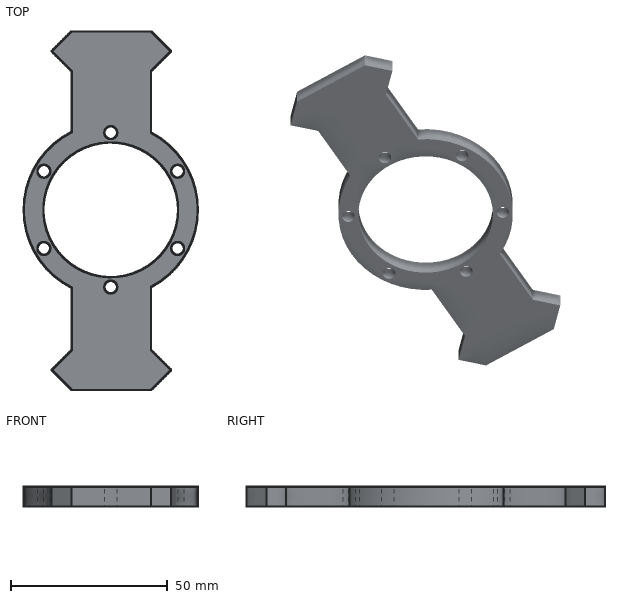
import cadquery as cq
import math

thickness = 6.35
overall_length = 114.3
bore_diameter = 42.85
rim_width = 6.35
arm_width = 25.4
tip_point = 6.35
bolt_hole_diameter = 4.0
bolt_count = 6
arm_offset_x = 0.2
arm_offset_y = -0.25
first_bolt_angle = 90.0

ring_diameter = bore_diameter + 2 * rim_width
bolt_circle_radius = (bore_diameter + rim_width) / 2
arm_half_width = arm_width / 2
half_length = overall_length / 2


def make_ring():
    """Solid disc that becomes the ring once the bore is cut."""
    return cq.Workplane("XY").circle(ring_diameter / 2).extrude(thickness)


def make_arm(direction):
    """Arm along Y (direction +1 or -1) with a pointed tip on both sides."""
    end = direction * half_length
    point = direction * (half_length - tip_point)
    neck = direction * (half_length - 2 * tip_point)
    tip_half_width = arm_half_width + tip_point
    right_side = [
        (arm_half_width, 0),
        (arm_half_width, neck),
        (tip_half_width, point),
        (arm_half_width, end),
    ]
    left_side = [(-x, y) for x, y in reversed(right_side)]
    return cq.Workplane("XY").polyline(right_side + left_side).close().extrude(thickness)


def make_arms():
    """Both arms, shifted together relative to the ring axis."""
    arms = make_arm(1).union(make_arm(-1))
    return arms.translate((arm_offset_x, arm_offset_y, 0))


def make_bore():
    """Central through bore."""
    return cq.Workplane("XY").circle(bore_diameter / 2).extrude(thickness)


def make_bolt_holes():
    """Evenly spaced through holes on the middle of the rim."""
    centres = []
    for index in range(bolt_count):
        angle = math.radians(first_bolt_angle + index * 360 / bolt_count)
        centres.append((bolt_circle_radius * math.cos(angle), bolt_circle_radius * math.sin(angle)))
    return cq.Workplane("XY").pushPoints(centres).circle(bolt_hole_diameter / 2).extrude(thickness)


body = make_ring().union(make_arms()).clean()
result = body.cut(make_bore()).cut(make_bolt_holes())